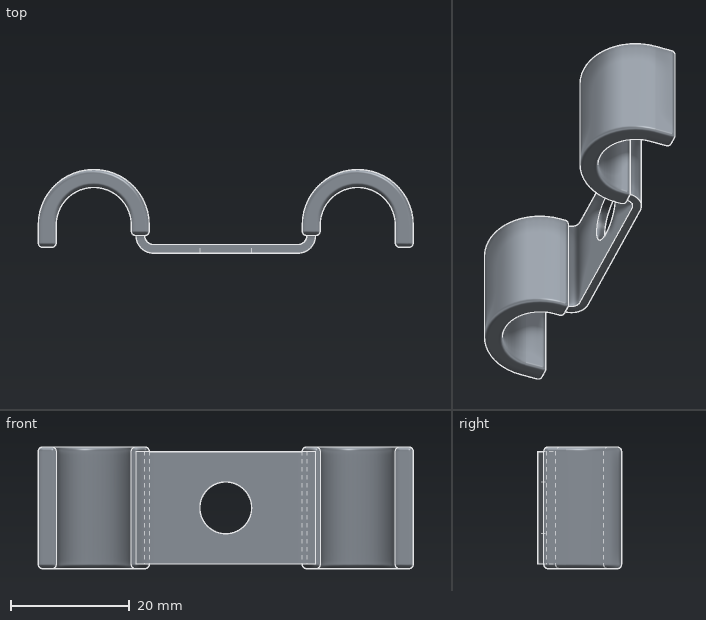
import cadquery as cq


strip_thickness = 1.5
strip_width = 19.0
coating = 0.785
bore_diameter = 12.63
overall_length = 63.3
outer_leg = 3.0
inner_leg = 1.0
bend_outer_radius = 3.0
screw_hole_diameter = 8.7

bore_radius = bore_diameter / 2
hook_wall = strip_thickness + 2 * coating
hook_outer_radius = bore_radius + hook_wall
hook_width = strip_width + 2 * coating
hook_center_x = overall_length / 2 - hook_outer_radius
outer_end_y = -(outer_leg + coating)
inner_end_y = -(inner_leg + coating)
strip_outer_radius = hook_outer_radius - coating
bend_inner_radius = bend_outer_radius - strip_thickness
bridge_back_y = inner_end_y - bend_outer_radius
bridge_front_y = bridge_back_y + strip_thickness
bend_narrow_x = hook_center_x - strip_outer_radius
bend_wide_x = bend_narrow_x + strip_thickness
bend_center_x = bend_wide_x - bend_outer_radius


def extrude_centered(outline, width):
    """Extrude an XY outline symmetrically about Z = 0."""
    return outline.close().extrude(width / 2, both=True)


def make_hook():
    """Coated J-shaped hook on the +X side, with every edge rounded."""
    outer_x = hook_center_x + hook_outer_radius
    inner_x = hook_center_x - hook_outer_radius
    outline = (
        cq.Workplane("XY")
        .moveTo(outer_x, outer_end_y)
        .lineTo(outer_x, 0)
        .threePointArc((hook_center_x, hook_outer_radius), (inner_x, 0))
        .lineTo(inner_x, inner_end_y)
        .lineTo(inner_x + hook_wall, inner_end_y)
        .lineTo(inner_x + hook_wall, 0)
        .threePointArc((hook_center_x, bore_radius), (outer_x - hook_wall, 0))
        .lineTo(outer_x - hook_wall, outer_end_y)
    )
    hook = extrude_centered(outline, hook_width)
    end_corners = hook.edges("|Z").filter(lambda edge: edge.Center().y < -coating)
    hook = end_corners.fillet(coating)
    return hook.faces("|Z").edges().fillet(coating)


def make_bridge():
    """Bare strip between the hooks: a flat with a bend at each end, its tips buried in the hooks."""
    outline = (
        cq.Workplane("XY")
        .moveTo(-bend_center_x, bridge_back_y)
        .lineTo(bend_center_x, bridge_back_y)
        .radiusArc((bend_wide_x, inner_end_y), -bend_outer_radius)
        .lineTo(bend_wide_x, 0)
        .lineTo(bend_narrow_x, 0)
        .lineTo(bend_narrow_x, inner_end_y)
        .radiusArc((bend_center_x, bridge_front_y), bend_inner_radius)
        .lineTo(-bend_center_x, bridge_front_y)
        .radiusArc((-bend_narrow_x, inner_end_y), bend_inner_radius)
        .lineTo(-bend_narrow_x, 0)
        .lineTo(-bend_wide_x, 0)
        .lineTo(-bend_wide_x, inner_end_y)
        .radiusArc((-bend_center_x, bridge_back_y), -bend_outer_radius)
    )
    return extrude_centered(outline, strip_width)


def make_screw_hole():
    """Cutter for the screw hole through the middle of the bridge."""
    return (
        cq.Workplane("XZ", origin=(0, bridge_front_y, 0))
        .circle(screw_hole_diameter / 2)
        .extrude(strip_thickness)
    )


hook = make_hook()
bridge = make_bridge().cut(make_screw_hole())
result = bridge.union(hook).union(hook.mirror("YZ"))